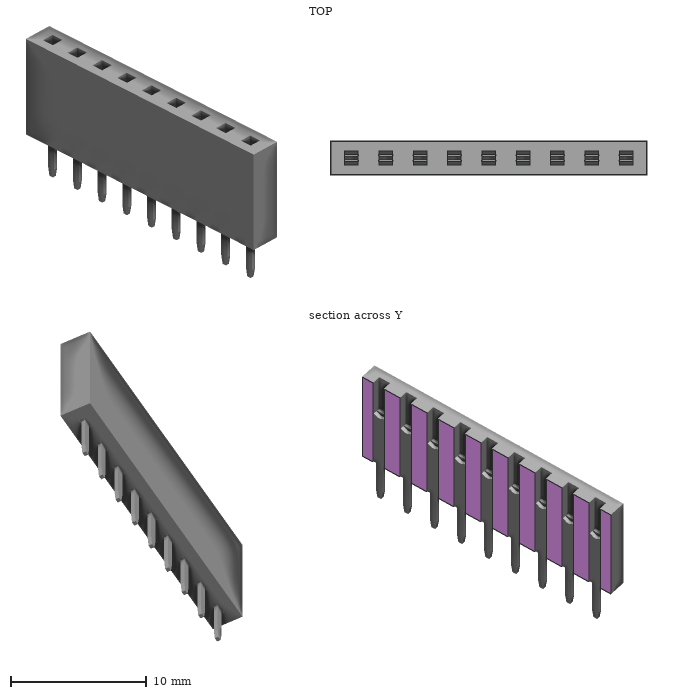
import cadquery as cq
import math

HOUSING_LENGTH = 23.4
HOUSING_DEPTH = 2.5
HOUSING_HEIGHT = 8.3

CONTACT_COUNT = 9
END_MARGIN = 1.55
PITCH = (HOUSING_LENGTH - 2 * END_MARGIN) / (CONTACT_COUNT - 1)
CONTACT_XS = [(i - (CONTACT_COUNT - 1) / 2) * PITCH for i in range(CONTACT_COUNT)]

SOCKET_SIDE = 1.0
SOCKET_DEPTH = 3.28
SOCKET_FLOOR = HOUSING_HEIGHT - SOCKET_DEPTH
SLOT_THICKNESS = 0.5

BLADE_WIDTH = SOCKET_SIDE
BLADE_THICKNESS = 0.3
TAIL_WIDTH = 0.63
TAIL_LENGTH = 3.5
TIP_WIDTH = 0.35
TIP_LENGTH = 0.75

LEAD_IN_ANGLE = 26.0
NOTCH_WIDTH = 0.54
NOTCH_RADIUS = 0.42


def make_housing():
    """Block with a socket and a through slot for every contact."""
    centres = [(x, 0) for x in CONTACT_XS]
    block = cq.Workplane("XY").box(
        HOUSING_LENGTH, HOUSING_DEPTH, HOUSING_HEIGHT, centered=(True, True, False)
    )
    sockets = (
        cq.Workplane("XY", origin=(0, 0, SOCKET_FLOOR))
        .pushPoints(centres)
        .rect(SOCKET_SIDE, SOCKET_SIDE)
        .extrude(SOCKET_DEPTH)
    )
    slots = (
        cq.Workplane("XY")
        .pushPoints(centres)
        .rect(BLADE_WIDTH, SLOT_THICKNESS)
        .extrude(SOCKET_FLOOR)
    )
    return block.cut(sockets).cut(slots)


def make_contact(x):
    """Flat contact centred at x, with its blade's upper corners level with the socket floor."""
    half_blade = BLADE_WIDTH / 2
    half_tail = TAIL_WIDTH / 2
    half_tip = TIP_WIDTH / 2
    half_notch = NOTCH_WIDTH / 2

    tail_end = -TAIL_LENGTH
    taper_start = tail_end + TIP_LENGTH
    slope_drop = (half_blade - half_notch) * math.tan(math.radians(LEAD_IN_ANGLE))
    notch_edge = SOCKET_FLOOR - slope_drop
    notch_sag = NOTCH_RADIUS - math.sqrt(NOTCH_RADIUS**2 - half_notch**2)

    return (
        cq.Workplane("XZ", origin=(x, BLADE_THICKNESS / 2, 0))
        .moveTo(-half_tip, tail_end)
        .lineTo(half_tip, tail_end)
        .lineTo(half_tail, taper_start)
        .lineTo(half_tail, 0)
        .lineTo(half_blade, 0)
        .lineTo(half_blade, SOCKET_FLOOR)
        .lineTo(half_notch, notch_edge)
        .threePointArc((0, notch_edge - notch_sag), (-half_notch, notch_edge))
        .lineTo(-half_blade, SOCKET_FLOOR)
        .lineTo(-half_blade, 0)
        .lineTo(-half_tail, 0)
        .lineTo(-half_tail, taper_start)
        .close()
        .extrude(BLADE_THICKNESS)
    )


housing = make_housing()
contacts = [make_contact(x) for x in CONTACT_XS]

result = cq.Compound.makeCompound([housing.val(), *[contact.val() for contact in contacts]])